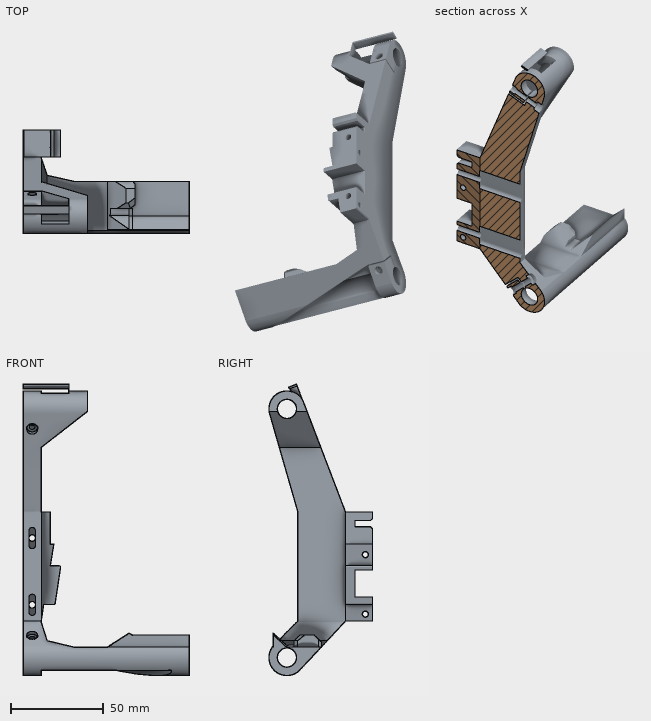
import cadquery as cq
import math

tube_radius = 9.8
bore_radius = 10.3 / 2
arm_width = 10.0
upper_tube_length = 35.0
lower_tube_length = 90.0
lower_axis_z = tube_radius
upper_axis_z = lower_axis_z + 134.5

arm_front_y = 5.8
arm_back_y = 31.7
bend_low_z = 29.5
bend_high_z = 88.7
touch_lag = 6
margin = 63.1
overlap = 0.2

upper_gusset_foot_drop = 20.8
upper_gusset_tip_drop = 1.3
lower_gusset_end_x = 27.6
lower_gusset_knee_x = 13.1
lower_gusset_knee = 9.1
lower_gusset_top = 19.1

slit_width = 1.0
slit_depth_offset = 1.3
slit_reach = 12.1

screw_x = arm_width / 2
screw_offset = 7.5
screw_radius = 3.2 / 2
head_radius = 6.0 / 2
nut_radius = 4.5 / 2
head_floor = 7.1
nut_floor = 6.6

upper_pocket_end_x = 25.0
upper_pocket_end_offset = 0.2
lower_pocket_end_x = 80.5
lower_pocket_depth_offset = 0.3

tray_floor = 5.7
tray_floor_z = lower_axis_z + tray_floor
fin_front_y = -7.4
fin_height = 12.3
raised_fin_height = 13.3
fin_foot_y = -0.3
raised_fin_foot_y = 0
raised_fin_foot = 6.5
slot_floor = 6.8
slot_front_y = 1.1
wedge_front_y = 4.0
ramp_start_x = 45.6
ramp_slope = 0.64
ramp_end_x = 57.3
fin_start_x = 59.2
wedge_end_x = 60.5
wedge_height = 12.1
wedge_front_corner = (2.5, 1.9)
wedge_back_corner = (1.3, 1.4)
wedge_front_bevel = 3.0
wedge_back_bevel = 3.8

mount_radius = 3.5 / 2
mount_x = arm_width / 2
mount_slot_length = 11.5
mount_heights = (38.3, 74.5)

bracket_back_y = 46.4
bracket_width = 14.8
bracket_foot_x = 11.2
bracket_lug_foot_x = 17.4
bracket_lug_tip_x = 20.5
bracket_lug_bottom_z = 38.5
bracket_lug_top_z = 59.5
bracket_barb_x = 16.7
bracket_barb_z = 71.1
bracket_edge_chamfer = 0.5
bracket_corner_radius = 0.8
notch_floor_y = 36.9
cable_slot_z = (80.6, 84.0)
cable_slot_mouth = 1.1
notch_z = (42.6, 57.1)
side_hole_radius = 3.2 / 2
side_hole_y = 42.5
side_hole_heights = (33.3, 65.5)

clip_front = 5.0
clip_back = 9.6
clip_thickness = 1.1
clip_top = 10.7
clip_web_front = 5.5
clip_web_thickness = 0.3
clip_web_foot = 0


def touch_point(bend, axis_z, side, lag=0):
    """End on the tube's outer circle of a flank line from a bend, lag degrees past tangency."""
    dy = bend[0]
    dz = bend[1] - axis_z
    turn = math.acos(tube_radius / math.hypot(dy, dz)) + math.radians(lag)
    angle = math.atan2(dz, dy) + side * turn
    return (tube_radius * math.cos(angle), axis_z + tube_radius * math.sin(angle))


low_back_bend = (arm_back_y, bend_low_z)
low_front_bend = (arm_front_y, bend_low_z)
high_back_bend = (arm_back_y, bend_high_z)
high_front_bend = (arm_front_y, bend_high_z)

low_back_touch = touch_point(low_back_bend, lower_axis_z, -1, touch_lag)
low_front_touch = touch_point(low_front_bend, lower_axis_z, 1, touch_lag)
high_back_touch = touch_point(high_back_bend, upper_axis_z, 1, touch_lag)
high_front_touch = touch_point(high_front_bend, upper_axis_z, -1)


def limb_plane(axis_z, low_end, high_end):
    """Plane across a tube: local x points square to the limb's back face, local y up along it."""
    rise_y = high_end[0] - low_end[0]
    rise_z = high_end[1] - low_end[1]
    return cq.Plane(origin=(0, 0, axis_z), xDir=(0, rise_z, -rise_y), normal=(1, 0, 0))


upper_plane = limb_plane(upper_axis_z, high_back_bend, high_back_touch)
lower_plane = limb_plane(lower_axis_z, low_back_touch, low_back_bend)
UPPER_TOWARDS_ARM = -1
LOWER_TOWARDS_ARM = 1


def xz_prism(points):
    """Prism through the whole depth of the part with an outline in X and Z."""
    return cq.Workplane("XZ").polyline(points).close().extrude(margin, both=True)


def arm_profile(length):
    """Side outline of the bent arm with a rounded end around each tube axis."""
    return (
        cq.Workplane("YZ")
        .moveTo(*low_front_bend)
        .lineTo(*low_front_touch)
        .threePointArc((0, lower_axis_z - tube_radius), low_back_touch)
        .lineTo(*low_back_bend)
        .lineTo(*high_back_bend)
        .lineTo(*high_back_touch)
        .threePointArc((0, upper_axis_z + tube_radius), high_front_touch)
        .lineTo(*high_front_bend)
        .close()
        .extrude(length)
    )


def upper_tube():
    """Upper tube with the gusset that joins it to the arm."""
    gusset_foot_z = upper_axis_z - upper_gusset_foot_drop
    gusset_tip_z = upper_axis_z - upper_gusset_tip_drop
    limit = xz_prism([
        (0, gusset_foot_z),
        (arm_width, gusset_foot_z),
        (upper_tube_length, gusset_tip_z),
        (upper_tube_length, upper_axis_z + tube_radius),
        (0, upper_axis_z + tube_radius),
    ])
    return arm_profile(upper_tube_length).intersect(limit)


def lower_tube():
    """Lower tube, cut flat at the tray floor, with the gusset that joins it to the arm."""
    limit = xz_prism([
        (0, 0),
        (lower_tube_length, 0),
        (lower_tube_length, tray_floor_z),
        (lower_gusset_end_x, tray_floor_z),
        (lower_gusset_knee_x, lower_axis_z + lower_gusset_knee),
        (arm_width, lower_axis_z + lower_gusset_top),
        (0, lower_axis_z + lower_gusset_top),
    ])
    return arm_profile(lower_tube_length).intersect(limit)


def fin_section(x, points):
    heights = [(y, lower_axis_z + height) for y, height in points]
    return cq.Workplane("YZ", origin=(x, 0, 0)).polyline(heights).close()


def tray_fin():
    """Fin along the front of the tray, with a raised, grooved start behind the ramp."""
    base = tray_floor - overlap
    raised = [
        (fin_front_y, base),
        (fin_front_y, raised_fin_height),
        (raised_fin_foot_y, raised_fin_foot),
        (slot_front_y, slot_floor),
        (wedge_front_y, slot_floor),
        (wedge_front_y, base),
    ]
    plain = [
        (fin_front_y, base),
        (fin_front_y, fin_height),
        (fin_foot_y, tray_floor),
        (slot_front_y, tray_floor),
        (wedge_front_y, tray_floor),
        (wedge_front_y, base),
    ]
    start = fin_section(ramp_start_x, raised).extrude(ramp_end_x - ramp_start_x)
    drop = cq.Workplane(cq.Solid.makeLoft(
        [fin_section(ramp_end_x, raised).val(), fin_section(fin_start_x, plain).val()], True))
    rest = fin_section(fin_start_x, plain).extrude(lower_tube_length - fin_start_x)
    return start.union(drop).union(rest)


def tray_wedge():
    """Block at the back of the tray with bevelled top edges and cut corners."""
    back_y = low_back_bend[0] + (
        (tray_floor_z - bend_low_z)
        * (low_back_bend[0] - low_back_touch[0]) / (bend_low_z - low_back_touch[1])
    )
    front_run, front_cut = wedge_front_corner
    back_run, back_cut = wedge_back_corner
    block = (
        cq.Workplane("XY", origin=(0, 0, tray_floor_z - overlap))
        .polyline([
            (ramp_start_x, wedge_front_y),
            (wedge_end_x - front_run, wedge_front_y),
            (wedge_end_x, wedge_front_y + front_cut),
            (wedge_end_x, back_y - back_cut),
            (wedge_end_x - back_run, back_y),
            (ramp_start_x, back_y),
        ])
        .close()
        .extrude(wedge_height - tray_floor + overlap)
    )
    front_edges = cq.selectors.BoxSelector((0, 0, 0), (wedge_end_x, wedge_front_y + front_cut, margin))
    block = block.faces(">Z").edges(front_edges).chamfer(wedge_front_bevel)
    return block.faces(">Z").edges(">Y").chamfer(wedge_back_bevel)


def tray_top():
    """Fin and wedge, both started by one ramp."""
    ramp_height = ramp_slope * (wedge_end_x - ramp_start_x)
    under_ramp = xz_prism([
        (ramp_start_x, tray_floor_z - overlap),
        (ramp_start_x, tray_floor_z),
        (wedge_end_x, tray_floor_z + ramp_height),
        (lower_tube_length, tray_floor_z + ramp_height),
        (lower_tube_length, tray_floor_z - overlap),
    ])
    return tray_fin().union(tray_wedge()).intersect(under_ramp)


def bore(axis_z):
    return (
        cq.Workplane("YZ", origin=(0, 0, axis_z))
        .circle(bore_radius)
        .extrude(lower_tube_length)
    )


def clamp_slit(plane, towards_arm):
    """L-shaped slit that opens one side of the clamp ring."""
    leg = -slit_depth_offset
    foot = towards_arm * slit_reach
    inner_foot = towards_arm * (slit_reach - slit_width)
    return (
        cq.Workplane(plane)
        .polyline([
            (leg, 0),
            (leg, foot),
            (margin, foot),
            (margin, inner_foot),
            (leg + slit_width, inner_foot),
            (leg + slit_width, 0),
        ])
        .close()
        .extrude(arm_width)
    )


def clamp_screw(plane, towards_arm):
    """Screw hole through the clamp, counterbored in front for the head and behind for the nut."""
    centre = plane.toWorldCoords((0, towards_arm * screw_offset, screw_x))
    across = cq.Workplane(cq.Plane(origin=centre, xDir=(1, 0, 0), normal=plane.xDir))
    hole = across.circle(screw_radius).extrude(margin / 2, both=True)
    head = across.workplane(offset=-margin / 2).circle(head_radius).extrude(margin / 2 - head_floor)
    nut = across.workplane(offset=nut_floor).circle(nut_radius).extrude(margin / 2)
    return hole.union(head).union(nut)


def tube_pocket(plane, depth, outline):
    """Pocket behind a tube; the outline gives X and the distance along the limb."""
    pocket_plane = cq.Plane(
        origin=plane.toWorldCoords((-depth, 0, 0)), xDir=(1, 0, 0), normal=-plane.xDir)
    return cq.Workplane(pocket_plane).polyline(outline).close().extrude(-margin)


def upper_pocket():
    return tube_pocket(upper_plane, slit_depth_offset, [
        (arm_width, -slit_reach),
        (upper_pocket_end_x, -upper_pocket_end_offset),
        (upper_pocket_end_x, margin),
        (arm_width, margin),
    ])


def lower_pocket():
    return tube_pocket(lower_plane, lower_pocket_depth_offset, [
        (arm_width, slit_reach),
        (lower_pocket_end_x, -tube_radius),
        (lower_pocket_end_x, -margin),
        (arm_width, -margin),
    ])


def mount_slots():
    return (
        cq.Workplane("XZ")
        .pushPoints([(mount_x, z) for z in mount_heights])
        .slot2D(mount_slot_length, 2 * mount_radius, 90)
        .extrude(-arm_back_y)
    )


def make_arm():
    arm = arm_profile(arm_width).union(upper_tube()).union(lower_tube()).union(tray_top())
    arm = arm.cut(bore(lower_axis_z)).cut(bore(upper_axis_z))
    arm = arm.cut(upper_pocket()).cut(lower_pocket())
    for plane, towards_arm in ((upper_plane, UPPER_TOWARDS_ARM), (lower_plane, LOWER_TOWARDS_ARM)):
        arm = arm.cut(clamp_slit(plane, towards_arm)).cut(clamp_screw(plane, towards_arm))
    return arm.cut(mount_slots())


def make_bracket():
    body = (
        cq.Workplane("XZ", origin=(0, arm_back_y, 0))
        .polyline([
            (0, bend_low_z),
            (arm_width, bend_low_z),
            (bracket_foot_x, bracket_lug_bottom_z),
            (bracket_lug_foot_x, bracket_lug_bottom_z),
            (bracket_lug_tip_x, bracket_lug_top_z),
            (bracket_width, bracket_lug_top_z),
            (bracket_barb_x, bracket_barb_z),
            (bracket_width, bracket_barb_z),
            (bracket_width, bend_high_z),
            (0, bend_high_z),
        ])
        .close()
        .extrude(arm_back_y - bracket_back_y)
    )
    body = body.faces("<X").edges("<Z or >Z").chamfer(bracket_edge_chamfer)
    lug_tips = cq.selectors.BoxSelector(
        (bracket_barb_x, 0, bracket_lug_bottom_z - overlap),
        (bracket_lug_tip_x + overlap, margin, bracket_lug_top_z + overlap),
    )
    body = body.edges("|Y").edges(lug_tips).fillet(bracket_corner_radius)

    mouth = cable_slot_mouth
    low, high = cable_slot_z
    cable_slot = (
        cq.Workplane("YZ")
        .polyline([
            (notch_floor_y, low),
            (bracket_back_y - mouth, low),
            (bracket_back_y, low - mouth),
            (bracket_back_y, high + mouth),
            (bracket_back_y - mouth, high),
            (notch_floor_y, high),
        ])
        .close()
        .extrude(margin)
    )
    notch_bottom, notch_top = notch_z
    notch = (
        cq.Workplane("YZ")
        .moveTo(notch_floor_y, notch_bottom)
        .lineTo(bracket_back_y, notch_bottom)
        .lineTo(bracket_back_y, notch_top)
        .lineTo(notch_floor_y, notch_top)
        .close()
        .extrude(margin)
    )
    body = body.cut(cable_slot).cut(notch)

    side_holes = (
        cq.Workplane("YZ")
        .pushPoints([(side_hole_y, z) for z in side_hole_heights])
        .circle(side_hole_radius)
        .extrude(margin)
    )
    mount_holes = (
        cq.Workplane("XZ")
        .pushPoints([(mount_x, z) for z in mount_heights])
        .circle(mount_radius)
        .extrude(-margin)
    )
    return body.cut(side_holes).cut(mount_holes)


def make_clip():
    """Thin plate over the upper clamp, held by a web against the end wall of the pocket."""
    plate = (
        cq.Workplane(upper_plane)
        .moveTo(clip_front, clip_top - clip_thickness)
        .lineTo(clip_back, clip_top - clip_thickness)
        .lineTo(clip_back, clip_top)
        .lineTo(clip_front, clip_top)
        .close()
        .extrude(upper_pocket_end_x)
    )
    web = (
        cq.Workplane(upper_plane)
        .workplane(offset=upper_pocket_end_x - clip_web_thickness)
        .moveTo(clip_web_front, clip_web_foot)
        .lineTo(clip_back, clip_web_foot)
        .lineTo(clip_back, clip_top)
        .lineTo(clip_web_front, clip_top)
        .close()
        .extrude(clip_web_thickness)
    )
    return plate.union(web)


arm = make_arm()
bracket = make_bracket()
clip = make_clip()
result = cq.Compound.makeCompound([arm.val(), bracket.val(), clip.val()])